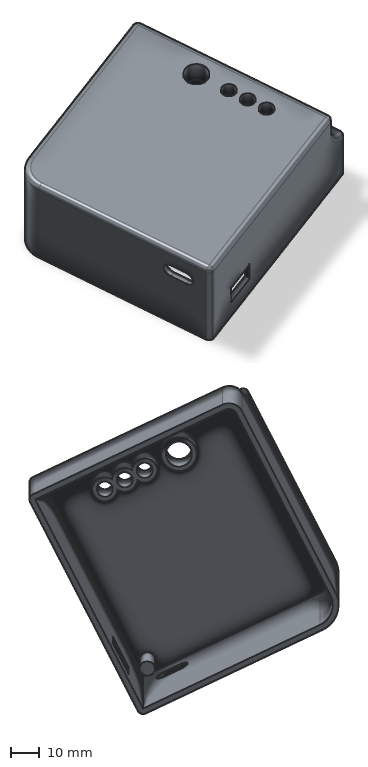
import cadquery as cq
import math


length_x = 80.0
length_y = 88.05
height = 40.0
front_left_radius = 10.0
back_left_radius = 5.0
edge_fillet = 2.0

wall = 2.0

step_depth = 8.0
cove_radius = 10.2
cove_drop = 8.1

slot_length = 12.0
slot_height = 6.0
slot_center_x = 66.9
slot_center_z = 29.1

hole_row_y = 70.35
button_diameter = 9.0
button_x = 30.5
light_diameter = 5.5
first_light_x = 43.7
light_pitch = 7.7
light_count = 3
tube_wall = 1.6
tube_drop = 9.1

boss_diameter = 5.2
boss_x = 74.0
boss_y = 6.95
boss_drop = 12.9

window_front_y = 13.2
window_length = 12.3
window_top_z = 15.85
window_height = 7.9

tolerance = 0.01


def coved_block(inset):
    """Rounded block with a cove along its back top edge, `inset` inside the outer faces."""
    front_y = inset
    back_y = length_y - inset
    upper_back_y = back_y - step_depth
    top_z = height - inset
    cove_top_z = top_z - cove_drop
    arc_center_y = upper_back_y + cove_radius
    arc_angle = math.acos((arc_center_y - back_y) / cove_radius)

    def arc_point(angle):
        return (
            arc_center_y - cove_radius * math.cos(angle),
            cove_top_z - cove_radius * math.sin(angle),
        )

    block = (
        cq.Workplane("YZ", origin=(inset, 0, 0))
        .moveTo(front_y, 0)
        .lineTo(back_y, 0)
        .lineTo(*arc_point(arc_angle))
        .threePointArc(arc_point(arc_angle / 2), (upper_back_y, cove_top_z))
        .lineTo(upper_back_y, top_z)
        .lineTo(front_y, top_z)
        .close()
        .extrude(length_x - 2 * inset)
    )
    block = block.edges("|Z and <X and <Y").fillet(front_left_radius - inset)
    return block.edges("|Z and <X").edges(">Y").fillet(back_left_radius - inset)


def is_sharp(edge):
    """True for the corners of the block above its base, and false for seams between tangent faces."""
    box = edge.BoundingBox()
    lies_on_base = box.zmax < tolerance
    is_rounded_corner_seam = box.zmin < tolerance and box.xmax < length_x - tolerance
    is_cove_seam = box.zlen < tolerance and abs(height - cove_drop - box.zmax) < tolerance
    return not (lies_on_base or is_rounded_corner_seam or is_cove_seam)


def hanging_cylinder(center, diameter, drop):
    """Vertical cylinder from the middle of the top wall down to `drop` below the top face."""
    return (
        cq.Workplane("XY", origin=(*center, height - drop))
        .circle(diameter / 2)
        .extrude(drop - wall / 2)
    )


def through_hole(center, diameter):
    return cq.Workplane("XY", origin=(*center, 0)).circle(diameter / 2).extrude(height)


outer = coved_block(0)
sharp_edges = [edge for edge in outer.edges().vals() if is_sharp(edge)]
outer = outer.newObject(sharp_edges).fillet(edge_fillet)
shell = outer.cut(coved_block(wall))

openings = [((button_x, hole_row_y), button_diameter)]
for i in range(light_count):
    openings.append(((first_light_x + i * light_pitch, hole_row_y), light_diameter))
for center, diameter in openings:
    shell = shell.union(hanging_cylinder(center, diameter + 2 * tube_wall, tube_drop))
shell = shell.union(hanging_cylinder((boss_x, boss_y), boss_diameter, boss_drop))

for center, diameter in openings:
    shell = shell.cut(through_hole(center, diameter))

slot = (
    cq.Workplane("XZ", origin=(slot_center_x, 0, slot_center_z))
    .slot2D(slot_length, slot_height)
    .extrude(-wall)
)
shell = shell.cut(slot)

window = (
    cq.Workplane("XY")
    .box(wall, window_length, window_height, centered=False)
    .translate((length_x - wall, window_front_y, window_top_z - window_height))
)
result = shell.cut(window)